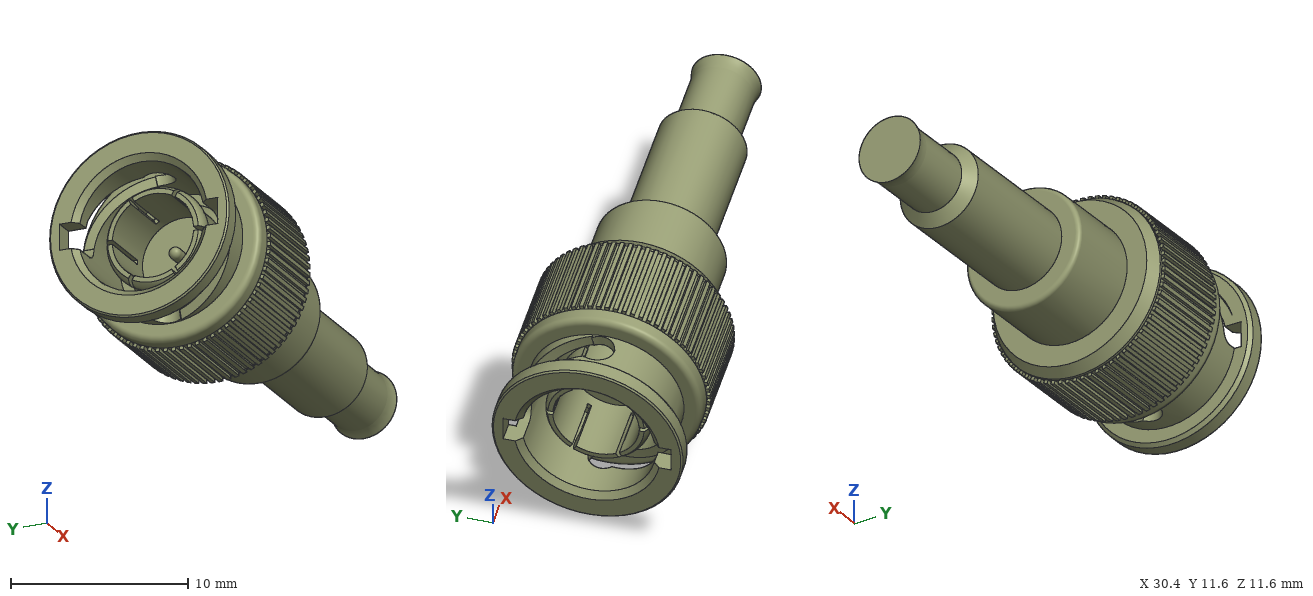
import cadquery as cq
import math

total_length = 30.41

flange_radius = 5.57
flange_thickness = 1.2
flange_front_chamfer = 0.1
flange_back_chamfer = 0.22
neck_radius = 4.53
collar_start = 4.21
collar_radius = flange_radius
collar_fillet = 0.37
knurl_start = 5.22
knurl_end = 10.57
knurl_radius = 5.79
groove_count = 72
groove_depth = knurl_radius - collar_radius
groove_width = math.pi * knurl_radius / groove_count
nut_end = 11.46
nut_end_radius = 5.13
nut_taper_start = 10.73

sleeve_end = 16.43
sleeve_radius = 3.82
sleeve_fillet = 0.28
tube_radius = 2.61
tube_end = 25.2
tail_start = 25.82
tail_radius = 1.9
flare_start = 29.5
flare_radius = 2.05

bore_radius = 3.9
bore_chamfer = 0.37
bore_floor = 6.0
ring_front = 1.93
ring_inner_radius = 2.52
ring_outer_radius = 2.81
bulge_length = 1.37
bulge_radius = 3.07
ring_root_radius = 3.28
ring_root_start = 5.3
ring_slot_count = 6
ring_slot_width = 0.25
pin_radius = 0.36
pin_tip = 4.6

arc_inset = 1 - math.sqrt(0.5)

entry_half_width = 0.79
entry_depth_radius = 4.9
ramp_start = 1.65
ramp_end = 3.27
ramp_end_angle = 80.0
lock_position = 3.17
lock_radius = 0.96
lock_angle = 87.0
cutter_inner_radius = 3.5


def revolve_outline(outline):
    """Revolve an (x, radius) outline about the X axis."""
    return outline.close().revolve(360, (0, 0, 0), (1, 0, 0))


def outer_body():
    """Solid outside shape of the nut, sleeve, tube and flared tail."""
    flare_length = total_length - flare_start
    flare_rise = flare_radius - tail_radius
    mid_flare = (flare_start + flare_length / 2, tail_radius + flare_rise / 4)
    outline = (
        cq.Workplane("XY")
        .moveTo(0, 0)
        .lineTo(0, flange_radius - flange_front_chamfer)
        .lineTo(flange_front_chamfer, flange_radius)
        .lineTo(flange_thickness - flange_back_chamfer, flange_radius)
        .lineTo(flange_thickness, flange_radius - flange_back_chamfer)
        .lineTo(flange_thickness, neck_radius)
        .lineTo(collar_start, neck_radius)
        .lineTo(collar_start, collar_radius - collar_fillet)
        .threePointArc(
            (collar_start + collar_fillet * arc_inset, collar_radius - collar_fillet * arc_inset),
            (collar_start + collar_fillet, collar_radius),
        )
        .lineTo(knurl_start, collar_radius)
        .lineTo(knurl_start, knurl_radius)
        .lineTo(knurl_end, knurl_radius)
        .lineTo(knurl_end, collar_radius)
        .lineTo(nut_taper_start, collar_radius)
        .lineTo(nut_end, nut_end_radius)
        .lineTo(nut_end, sleeve_radius)
        .lineTo(sleeve_end - sleeve_fillet, sleeve_radius)
        .threePointArc(
            (sleeve_end - sleeve_fillet * arc_inset, sleeve_radius - sleeve_fillet * arc_inset),
            (sleeve_end, sleeve_radius - sleeve_fillet),
        )
        .lineTo(sleeve_end, tube_radius)
        .lineTo(tube_end, tube_radius)
        .lineTo(tail_start, tail_radius)
        .lineTo(flare_start, tail_radius)
        .threePointArc(mid_flare, (total_length, flare_radius))
        .lineTo(total_length, 0)
    )
    return revolve_outline(outline)


def mating_bore():
    """Chamfered blind bore at the mating face."""
    outline = (
        cq.Workplane("XY")
        .lineTo(0, bore_radius + bore_chamfer)
        .lineTo(bore_chamfer, bore_radius)
        .lineTo(bore_floor, bore_radius)
        .lineTo(bore_floor, 0)
    )
    return revolve_outline(outline)


def contact_ring():
    """Bulged contact ring on a conical root, split by radial slots."""
    bulge_end = ring_front + bulge_length
    outline = (
        cq.Workplane("XY")
        .moveTo(bore_floor, ring_inner_radius)
        .lineTo(ring_front, ring_inner_radius)
        .lineTo(ring_front, ring_outer_radius)
        .threePointArc((ring_front + bulge_length / 2, bulge_radius), (bulge_end, ring_outer_radius))
        .lineTo(ring_root_start, ring_outer_radius)
        .lineTo(bore_floor, ring_root_radius)
    )
    ring = revolve_outline(outline)
    slot_length = ring_root_start - ring_front
    for index in range(ring_slot_count):
        slot = (
            cq.Workplane("XY")
            .box(slot_length, bore_radius, ring_slot_width, centered=(False, False, True))
            .translate((ring_front, 0, 0))
            .rotate((0, 0, 0), (1, 0, 0), index * 360 / ring_slot_count)
        )
        ring = ring.cut(slot)
    return ring


def centre_pin():
    """Round-tipped pin standing on the bore floor."""
    outline = (
        cq.Workplane("XY")
        .moveTo(pin_tip, 0)
        .threePointArc(
            (pin_tip + pin_radius * arc_inset, pin_radius * (1 - arc_inset)),
            (pin_tip + pin_radius, pin_radius),
        )
        .lineTo(bore_floor, pin_radius)
        .lineTo(bore_floor, 0)
    )
    return revolve_outline(outline)


def radial_hole(position, radius, angle):
    """Cylinder through the neck wall; the angle runs from +Y towards +Z."""
    return (
        cq.Workplane("XZ")
        .center(position, 0)
        .circle(radius)
        .extrude(-entry_depth_radius)
        .cut(cq.Workplane("YZ").circle(cutter_inner_radius).extrude(collar_start))
        .rotate((0, 0, 0), (1, 0, 0), angle)
    )


def entry_slot():
    """Axial slot from the mating face, with a rounded end."""
    depth = entry_depth_radius - cutter_inner_radius
    straight = (
        cq.Workplane("XY")
        .box(ramp_start, depth, 2 * entry_half_width, centered=(False, False, True))
        .translate((0, cutter_inner_radius, 0))
    )
    return straight.union(radial_hole(ramp_start, entry_half_width, 0))


def helical_ramp():
    """Slot rising from the entry slot to the locking hole, kept behind the flange."""
    advance = ramp_end - ramp_start
    pitch = advance * 360 / ramp_end_angle
    mid_radius = (cutter_inner_radius + entry_depth_radius) / 2
    lead_angle = math.atan(pitch / (2 * math.pi * neck_radius))
    axial_width = 2 * entry_half_width / math.cos(lead_angle)
    path = cq.Wire.makeHelix(pitch, advance, mid_radius)
    ramp = (
        cq.Workplane("XZ")
        .center(mid_radius, 0)
        .rect(entry_depth_radius - cutter_inner_radius, axial_width)
        .sweep(cq.Workplane(path), isFrenet=True)
        .rotate((0, 0, 0), (0, 1, 0), 90)
        .rotate((0, 0, 0), (1, 0, 0), 90)
        .translate((ramp_start, 0, 0))
    )
    flange_zone = cq.Workplane("YZ").circle(flange_radius).extrude(flange_thickness)
    return ramp.cut(flange_zone)


def cut_bayonet_slots(body):
    """Cut the two bayonet tracks on opposite sides of the nut."""
    cutters = [entry_slot(), helical_ramp(), radial_hole(lock_position, lock_radius, lock_angle)]
    for turn in (0, 180):
        for cutter in cutters:
            body = body.cut(cutter.rotate((0, 0, 0), (1, 0, 0), turn))
    return body


def knurl_grooves():
    """Square grooves around the grip, cut down to the collar radius."""
    return (
        cq.Workplane("YZ")
        .workplane(offset=knurl_start)
        .polarArray(knurl_radius, 0, 360, groove_count)
        .rect(2 * groove_depth, groove_width)
        .extrude(knurl_end - knurl_start)
    )


nut = cut_bayonet_slots(outer_body().cut(mating_bore()))
result = nut.cut(knurl_grooves()).union(contact_ring()).union(centre_pin())